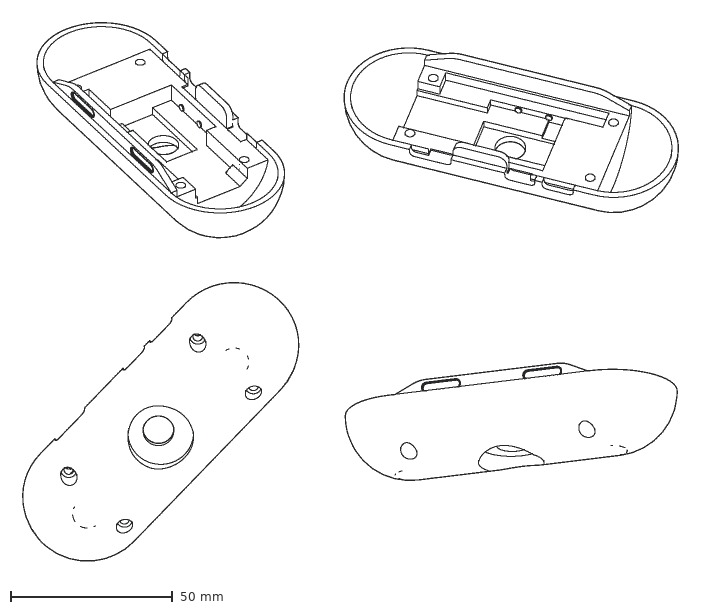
import cadquery as cq
import math

LENGTH = 106.5
SHELL_RADIUS = 20.0
WALL = 2.0
CAVITY_RADIUS = SHELL_RADIUS - WALL
HALF_STRAIGHT = LENGTH / 2 - SHELL_RADIUS
BOTTOM_Z = -19.5

BLOCK_TOP_Z = -2.5

POCKET_Y = 1.0
MAIN_X_MIN = -14.6
MAIN_X_MAX = 10.4
MAIN_WIDTH = 25.1
CHANNEL_WIDTH = 18.3
FLOOR_Z = -8.4
DEEP_WIDTH = 11.3
DEEP_Z = -11.1
RECESS_X_MAX = -8.5
RECESS_Z = -9.7

FRONT_POCKET_X_MIN = -26.8
FRONT_POCKET_X_MAX = 26.1
FRONT_POCKET_Y_MIN = -14.9
FRONT_POCKET_Y_MAX = -8.9
FRONT_POCKET_Z = -6.0

WEDGE_X_MIN = 25.0
WEDGE_RUN = 2.7
WEDGE_RISE = 2.0

BUMP_XS = (-8.5, 1.4)
BUMP_DIAMETER = 2.1
BUMP_HEIGHT = 0.4

CENTRE_HOLE_DIAMETER = 9.5
PUCK_DIAMETER = 20.2
PUCK_CEILING_Z = -13.7
SCREW_XS = (-29.4, 29.1)
SCREW_Y = 11.7
SCREW_DIAMETER = 3.0
SCREW_HEAD_DIAMETER = 5.0
SCREW_SEAT_Z = -8.5

TAB_TOP_Z = 4.5
TAB_THICKNESS = 2.2
TAB_INNER_Y = CAVITY_RADIUS - TAB_THICKNESS
FRONT_TAB_HALF_TOP = 23.9
FRONT_TAB_CORNER_RADIUS = 10.0
REAR_TAB_X_MIN = -4.4
REAR_TAB_X_MAX = 13.1
REAR_TAB_CORNER_RADIUS = 3.0

SLOT_X = 16.6
SLOT_Z = 1.9
SLOT_LENGTH = 12.7
SLOT_HEIGHT = 3.2
SLOT_STEP = 0.3
SLOT_STEP_DEPTH = 0.3

NOTCH_FLOOR_Z = -3.1
NOTCH_FILLET = 1.7
NOTCH_SPANS = ((-26.5, -16.5), (-14.1, REAR_TAB_X_MIN), (REAR_TAB_X_MAX, 26.5))
REAR_LEDGE_X_MIN = -12.0
REAR_LEDGE_X_MAX = 21.0

CUT_MARGIN = 1.1


def box(x_min, x_max, y_min, y_max, z_min, z_max):
    """Box given by its limits along each axis."""
    return (
        cq.Workplane("XY")
        .box(x_max - x_min, y_max - y_min, z_max - z_min, centered=False)
        .translate((x_min, y_min, z_min))
    )


def upright_cylinder(x, y, diameter, z_min, z_max):
    """Vertical cylinder between two heights."""
    return cq.Workplane("XY", origin=(x, y, z_min)).circle(diameter / 2).extrude(z_max - z_min)


def capsule(radius):
    """Cylinder along X with a round end on each side, made by one revolution."""
    tip_x = HALF_STRAIGHT + radius
    shoulder = radius * math.sqrt(0.5)
    return (
        cq.Workplane("XY")
        .moveTo(-tip_x, 0)
        .threePointArc((-HALF_STRAIGHT - shoulder, shoulder), (-HALF_STRAIGHT, radius))
        .lineTo(HALF_STRAIGHT, radius)
        .threePointArc((HALF_STRAIGHT + shoulder, shoulder), (tip_x, 0))
        .close()
        .revolve(360, (0, 0, 0), (1, 0, 0))
    )


def plate(outline, y_min, y_max):
    """Extrude an XZ outline between two Y positions."""
    return outline.extrude(y_max - y_min).translate((0, y_max, 0))


def shell_with_block():
    """Hollow half capsule whose straight part is filled by the block."""
    below_rim = box(-LENGTH, LENGTH, -LENGTH, LENGTH, BOTTOM_Z, 0)
    block_zone = box(-HALF_STRAIGHT, HALF_STRAIGHT, -CAVITY_RADIUS, CAVITY_RADIUS, BOTTOM_Z, BLOCK_TOP_Z)
    cavity = capsule(CAVITY_RADIUS).cut(block_zone)
    return capsule(SHELL_RADIUS).intersect(below_rim).cut(cavity)


def pockets():
    """Stepped pockets sunk into the block, with the front pocket."""
    def centred(x_min, x_max, width, floor_z):
        return box(x_min, x_max, POCKET_Y - width / 2, POCKET_Y + width / 2, floor_z, 0)

    main_y_min = POCKET_Y - MAIN_WIDTH / 2
    channel_y_min = POCKET_Y - CHANNEL_WIDTH / 2
    deep_y_min = POCKET_Y - DEEP_WIDTH / 2
    cut = centred(MAIN_X_MIN, MAIN_X_MAX, MAIN_WIDTH, FLOOR_Z)
    cut = cut.union(centred(MAIN_X_MAX, HALF_STRAIGHT, CHANNEL_WIDTH, FLOOR_Z))
    cut = cut.union(centred(MAIN_X_MIN, MAIN_X_MAX, DEEP_WIDTH, DEEP_Z))
    cut = cut.union(box(MAIN_X_MIN, RECESS_X_MAX, main_y_min, deep_y_min, RECESS_Z, 0))
    cut = cut.union(box(FRONT_POCKET_X_MIN, FRONT_POCKET_X_MAX,
                        FRONT_POCKET_Y_MIN, FRONT_POCKET_Y_MAX, FRONT_POCKET_Z, 0))
    return cut.union(box(MAIN_X_MAX, HALF_STRAIGHT, FRONT_POCKET_Y_MAX, channel_y_min, FRONT_POCKET_Z, 0))


def wedge():
    """Sloped support at the open end of the channel's rear wall."""
    wall_y = POCKET_Y + CHANNEL_WIDTH / 2
    return (
        cq.Workplane("YZ", origin=(WEDGE_X_MIN, 0, 0))
        .moveTo(wall_y, FLOOR_Z)
        .lineTo(wall_y - WEDGE_RUN, FLOOR_Z)
        .lineTo(wall_y, FLOOR_Z + WEDGE_RISE)
        .close()
        .extrude(HALF_STRAIGHT - WEDGE_X_MIN)
    )


def wall_bumps():
    """Round bumps that stand out from both long walls of the main pocket."""
    bumps = cq.Workplane("XY")
    for x in BUMP_XS:
        for side in (-1, 1):
            tip_y = POCKET_Y + side * (MAIN_WIDTH / 2 - BUMP_HEIGHT)
            plane = cq.Plane((x, tip_y, FLOOR_Z + BUMP_DIAMETER / 2), (1, 0, 0), (0, side, 0))
            bumps = bumps.add(cq.Workplane(plane).circle(BUMP_DIAMETER / 2).extrude(BUMP_HEIGHT))
    return bumps.combine()


def slot_recess(length, height, depth):
    """Pair of obround recesses in the front face of the front tab."""
    return (
        cq.Workplane("XZ", origin=(0, -CAVITY_RADIUS + depth, SLOT_Z))
        .pushPoints([(-SLOT_X, 0), (SLOT_X, 0)])
        .slot2D(length, height)
        .extrude(depth)
    )


def front_tab():
    """Sloped tab along the front wall with two stepped obround recesses."""
    outline = (
        cq.Workplane("XZ")
        .moveTo(-HALF_STRAIGHT, BLOCK_TOP_Z)
        .lineTo(-HALF_STRAIGHT, 0)
        .lineTo(-FRONT_TAB_HALF_TOP, TAB_TOP_Z)
        .lineTo(FRONT_TAB_HALF_TOP, TAB_TOP_Z)
        .lineTo(HALF_STRAIGHT, 0)
        .lineTo(HALF_STRAIGHT, BLOCK_TOP_Z)
        .close()
    )
    tab = plate(outline, -CAVITY_RADIUS, -TAB_INNER_Y)
    for x in (-FRONT_TAB_HALF_TOP, FRONT_TAB_HALF_TOP):
        corner = cq.selectors.NearestToPointSelector((x, -CAVITY_RADIUS + TAB_THICKNESS / 2, TAB_TOP_Z))
        tab = tab.edges("|Y").edges(corner).fillet(FRONT_TAB_CORNER_RADIUS)
    tab = tab.cut(slot_recess(SLOT_LENGTH, SLOT_HEIGHT, SLOT_STEP_DEPTH))
    inner_length = SLOT_LENGTH - 2 * SLOT_STEP
    inner_height = SLOT_HEIGHT - 2 * SLOT_STEP
    return tab.cut(slot_recess(inner_length, inner_height, 2 * SLOT_STEP_DEPTH))


def rear_tab():
    """Upright rear tab with rounded top corners."""
    tab = box(REAR_TAB_X_MIN, REAR_TAB_X_MAX, TAB_INNER_Y, CAVITY_RADIUS, NOTCH_FLOOR_Z, TAB_TOP_Z)
    return tab.edges("|Y and >Z").fillet(REAR_TAB_CORNER_RADIUS)


def rear_gaps(y_min, y_max):
    """Gaps on the rear side, with rounded floor corners, between two Y positions."""
    gaps = cq.Workplane("XY")
    for x_min, x_max in NOTCH_SPANS:
        gap = box(x_min, x_max, y_min, y_max, NOTCH_FLOOR_Z, CUT_MARGIN)
        gaps = gaps.add(gap.edges("|Y and <Z").fillet(NOTCH_FILLET))
    return gaps.combine()


def rear_notches():
    """Gaps in the rear wall that continue into the block beside the rear tab."""
    ledge_zone = box(REAR_LEDGE_X_MIN, REAR_LEDGE_X_MAX,
                     TAB_INNER_Y, CAVITY_RADIUS, NOTCH_FLOOR_Z, CUT_MARGIN)
    ledge = rear_gaps(TAB_INNER_Y, CAVITY_RADIUS).intersect(ledge_zone)
    return rear_gaps(CAVITY_RADIUS, SHELL_RADIUS + CUT_MARGIN).union(ledge)


def holes():
    """Central hole over a round recess, and four screw holes with head bores."""
    start_z = BOTTOM_Z - CUT_MARGIN
    cut = upright_cylinder(0, POCKET_Y, CENTRE_HOLE_DIAMETER, start_z, 0)
    cut = cut.union(upright_cylinder(0, 0, PUCK_DIAMETER, start_z, PUCK_CEILING_Z))
    for x in SCREW_XS:
        for y in (-SCREW_Y, SCREW_Y):
            cut = cut.union(upright_cylinder(x, y, SCREW_DIAMETER, start_z, 0))
            cut = cut.union(upright_cylinder(x, y, SCREW_HEAD_DIAMETER, start_z, SCREW_SEAT_Z))
    return cut


result = shell_with_block().cut(pockets()).union(wedge()).union(wall_bumps())
result = result.cut(rear_notches()).cut(holes()).union(front_tab()).union(rear_tab())